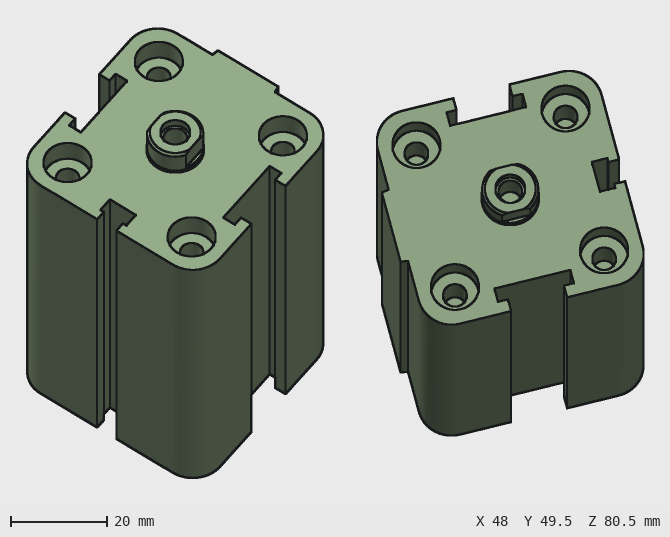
import cadquery as cq

total_height = 80.5
body_width = 48.0
body_height = 74.5
corner_radius = 7.0
cap_height = 14.5
half_width = body_width / 2

rib_top_width = 15.5
rib_foot_width = 16.1
rib_height = 1.5

side_slot_opening = 12.0
side_slot_inner_width = 16.3
side_slot_lip = 2.65
side_slot_depth = 5.6
front_slot_opening = 4.9
front_slot_inner_width = 6.7
front_slot_lip = 2.3
front_slot_depth = 5.6

hole_spacing = 31.95
hole_diameter = 4.9
counterbore_diameter = 10.0
counterbore_depth = 5.6

rod_diameter = 12.0
rod_head_diameter = 11.7
rod_shoulder_rise = 0.3
rod_step = (rod_diameter - rod_head_diameter) / 2
rod_chamfer = 0.6
flat_spacing = 10.0
flat_height = 4.9
socket_diameter = 6.2
socket_depth = 2.0
rod_hole_diameter = 4.9
rod_hole_depth = 9.7
rod_bottom = body_height - cap_height


def block(width, depth, height):
    """Box centred in X and Y that stands on Z = 0."""
    return cq.Workplane("XY").box(width, depth, height, centered=(True, True, False))


def make_profile_bar():
    """Round-cornered bar with the rib along its back face."""
    bar = block(body_width, body_width, body_height).edges("|Z").fillet(corner_radius)
    rib_top = half_width + rib_height
    rib = (
        cq.Workplane("XY")
        .polyline([
            (-rib_foot_width / 2, 0),
            (-rib_foot_width / 2, half_width),
            (-rib_top_width / 2, rib_top),
            (rib_top_width / 2, rib_top),
            (rib_foot_width / 2, half_width),
            (rib_foot_width / 2, 0),
        ])
        .close()
        .extrude(body_height)
    )
    return bar.union(rib)


def make_t_slot(opening, inner_width, lip, depth):
    """Full-height T-slot cutter for the front face: a narrow mouth that widens behind the lips."""
    mouth = block(opening, depth, body_height).translate((0, depth / 2 - half_width, 0))
    inner_depth = depth - lip
    inner = block(inner_width, inner_depth, body_height)
    inner = inner.translate((0, lip + inner_depth / 2 - half_width, 0))
    return mouth.union(inner)


def make_housing():
    housing = make_profile_bar()

    front_slot = make_t_slot(front_slot_opening, front_slot_inner_width, front_slot_lip, front_slot_depth)
    side_slot = make_t_slot(side_slot_opening, side_slot_inner_width, side_slot_lip, side_slot_depth)
    housing = housing.cut(front_slot)
    for angle in (-90, 90):
        housing = housing.cut(side_slot.rotate((0, 0, 0), (0, 0, 1), angle))

    housing = (
        housing.faces(">Z").workplane(origin=(0, 0, body_height))
        .rect(hole_spacing, hole_spacing, forConstruction=True).vertices()
        .cboreHole(hole_diameter, counterbore_diameter, counterbore_depth, depth=cap_height)
    )

    bore = cq.Workplane("XY", origin=(0, 0, rod_bottom)).circle(rod_diameter / 2).extrude(cap_height)
    return housing.cut(bore)


def make_rod():
    shank_length = cap_height + rod_shoulder_rise + rod_step
    rod = cq.Workplane("XY", origin=(0, 0, rod_bottom)).circle(rod_diameter / 2).extrude(shank_length)
    rod = rod.faces(">Z").edges().chamfer(rod_step)

    head_bottom = rod_bottom + shank_length
    head = cq.Workplane("XY", origin=(0, 0, head_bottom)).circle(rod_head_diameter / 2)
    head = head.extrude(total_height - head_bottom).faces(">Z").edges().chamfer(rod_chamfer)
    rod = rod.union(head)

    for side in (-1, 1):
        flat = block(rod_diameter, rod_diameter, flat_height)
        flat_x = side * (flat_spacing + rod_diameter) / 2
        rod = rod.cut(flat.translate((flat_x, 0, total_height - flat_height)))

    return (
        rod.faces(">Z").workplane(origin=(0, 0, total_height))
        .cboreHole(rod_hole_diameter, socket_diameter, socket_depth, depth=rod_hole_depth)
    )


housing = make_housing()
rod = make_rod()
result = cq.Compound.makeCompound([housing.val(), rod.val()])